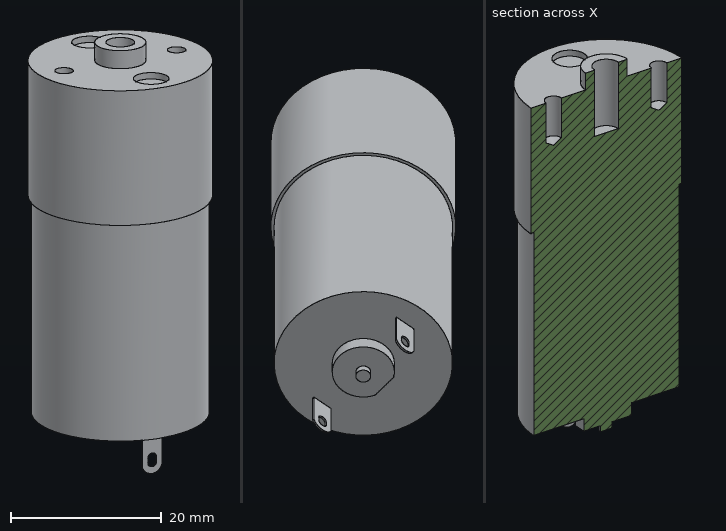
import cadquery as cq
import math

TOTAL_HEIGHT = 58.08

HEAD_DIAMETER = 24.59
HEAD_HEIGHT = 18.95
CAN_DIAMETER = 23.72

HUB_DIAMETER = 6.81
HUB_HEIGHT = 2.54
BORE_DIAMETER = 3.81
BORE_DEPTH = 10.0

POCKET_DIAMETER = 4.72
POCKET_OFFSET = 8.38
POCKET_DEPTH = 0.9
SCREW_HOLE_DIAMETER = 2.46
SCREW_HOLE_OFFSET = 8.57
SCREW_HOLE_DEPTH = 6.0
DRILL_POINT_ANGLE = 118.0

BOSS_DIAMETER = 8.26
BOSS_HEIGHT = 1.9
BOSS_FLAT_OFFSET = 3.65
SHAFT_END_DIAMETER = 1.98
SHAFT_END_LENGTH = 0.92

TERMINAL_LENGTH = 6.05
TERMINAL_WIDTH = 3.0
TERMINAL_TIP_RISE = 1.1
TERMINAL_THICKNESS = 0.25
TERMINAL_OFFSET = 8.57
EYE_WIDTH = 1.3
EYE_LENGTH = 1.9
EYE_CENTER_ABOVE_TIP = 1.95

HUB_TOP_Z = TOTAL_HEIGHT - TERMINAL_LENGTH
TOP_FACE_Z = HUB_TOP_Z - HUB_HEIGHT
HEAD_BOTTOM_Z = TOP_FACE_Z - HEAD_HEIGHT


def cylinder(diameter, bottom_z, top_z, x=0.0, y=0.0):
    """Vertical cylinder between two heights."""
    disc = cq.Workplane("XY", origin=(x, y, bottom_z)).circle(diameter / 2)
    return disc.extrude(top_z - bottom_z)


def motor_body():
    """Can, wider gearbox head and hub, stacked on one axis."""
    can = cylinder(CAN_DIAMETER, 0, HEAD_BOTTOM_Z)
    head = cylinder(HEAD_DIAMETER, HEAD_BOTTOM_Z, TOP_FACE_Z)
    hub = cylinder(HUB_DIAMETER, TOP_FACE_Z, HUB_TOP_Z)
    return can.union(head).union(hub)


def screw_hole(y):
    """Blind drilled hole with a conical bottom."""
    radius = SCREW_HOLE_DIAMETER / 2
    point_height = radius / math.tan(math.radians(DRILL_POINT_ANGLE / 2))
    half_profile = (
        cq.Workplane("XZ", origin=(0, y, TOP_FACE_Z))
        .lineTo(radius, 0)
        .lineTo(radius, -SCREW_HOLE_DEPTH)
        .lineTo(0, -SCREW_HOLE_DEPTH - point_height)
        .close()
    )
    return half_profile.revolve(360, (0, 0), (0, 1))


def rear_boss():
    """Round boss under the can, cut off by a flat on its -Y side."""
    boss = cylinder(BOSS_DIAMETER, -BOSS_HEIGHT, 0)
    kept_length = BOSS_FLAT_OFFSET + BOSS_DIAMETER / 2
    kept_region = cq.Workplane("XY").box(
        BOSS_DIAMETER, kept_length, 2 * BOSS_HEIGHT
    ).translate((0, kept_length / 2 - BOSS_FLAT_OFFSET, 0))
    return boss.intersect(kept_region)


def terminal(x):
    """Thin round-ended tab with an oblong eye, hanging below the can."""
    half_width = TERMINAL_WIDTH / 2
    arc_start_z = TERMINAL_TIP_RISE - TERMINAL_LENGTH
    side_face = cq.Workplane("YZ", origin=(x, 0, 0))
    tab = (
        side_face.moveTo(-half_width, 0)
        .lineTo(-half_width, arc_start_z)
        .threePointArc((0, -TERMINAL_LENGTH), (half_width, arc_start_z))
        .lineTo(half_width, 0)
        .close()
        .extrude(TERMINAL_THICKNESS / 2, both=True)
    )
    eye = (
        side_face.center(0, EYE_CENTER_ABOVE_TIP - TERMINAL_LENGTH)
        .slot2D(EYE_LENGTH, EYE_WIDTH, 90)
        .extrude(TERMINAL_THICKNESS, both=True)
    )
    return tab.cut(eye)


result = motor_body()
result = result.cut(cylinder(BORE_DIAMETER, HUB_TOP_Z - BORE_DEPTH, HUB_TOP_Z))
result = result.union(rear_boss())
result = result.union(cylinder(SHAFT_END_DIAMETER, -BOSS_HEIGHT - SHAFT_END_LENGTH, -BOSS_HEIGHT))

for side in (-1, 1):
    pocket_x = side * POCKET_OFFSET
    result = result.cut(cylinder(POCKET_DIAMETER, TOP_FACE_Z - POCKET_DEPTH, TOP_FACE_Z, x=pocket_x))
    result = result.cut(screw_hole(side * SCREW_HOLE_OFFSET))
    result = result.union(terminal(side * TERMINAL_OFFSET))